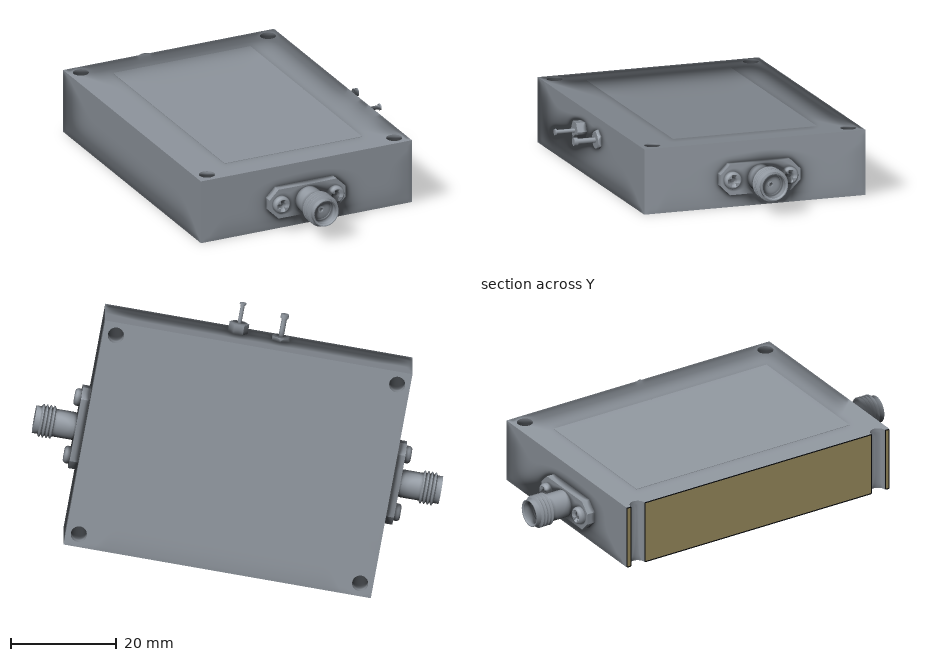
import cadquery as cq
import math

total_length = 78.1
total_width = 50.3
total_height = 12.8
body_length = 59.0
body_width = 44.4
body_height = 12.7
hole_diameter = 3.05
hole_inset = 2.5

label_length = 47.9
label_width = 29.0
label_height = total_height - body_height

connector_y = -0.55
connector_z = 5.7
connector_length = (total_length - body_length) / 2
flange_length = 16.0
flange_height = 5.9
flange_thickness = 1.65
flange_chamfer = 1.9
sleeve_diameter = 5.3
neck_diameter = 5.1
neck_length = 0.2
thread_diameter = 6.3
thread_pitch = 0.7
thread_turns = 4
thread_crest = 0.15
tip_length = 1.0
bore_diameter = 4.5
bore_depth = 1.95
mouth_chamfer = 0.2
insert_recess_diameter = 3.9
insert_recess_depth = 0.2
contact_diameter = 1.3
contact_bore_diameter = 0.765
contact_bore_depth = 1.6

screw_spacing = 11.4
screw_diameter = 3.35
screw_top_diameter = 2.5
screw_height = 1.2
screw_rim_height = 0.55
screw_dome_bulge = 0.1
recess_length = 2.5
recess_tip = 0.8
recess_width = 0.9
recess_depth = 0.9

terminal_z = 8.6
ground_x = -4.1
ground_stem_diameter = 1.0
ground_head_diameter = 1.6
ground_head_thickness = 0.8
ground_reach = 5.1
ground_nut_flats = 3.35
ground_nut_height = 0.7
nut_cone_base_diameter = 4.05
nut_cone_top_diameter = 3.3
supply_x = 4.05
supply_stem_diameter = 0.765
supply_head_diameter = 1.25
supply_head_thickness = 0.3
supply_reach = total_width - body_width
supply_base_flats = 3.3
supply_base_height = 1.9


def make_body():
    """Block with four through holes, carrying the label plate."""
    body = cq.Workplane("XY").box(body_length, body_width, body_height, centered=(True, True, False))
    label = (
        cq.Workplane("XY", origin=(0, 0, body_height))
        .box(label_length, label_width, label_height, centered=(True, True, False))
    )
    holes = (
        cq.Workplane("XY")
        .rect(body_length - 2 * hole_inset, body_width - 2 * hole_inset, forConstruction=True)
        .vertices()
        .circle(hole_diameter / 2)
        .extrude(body_height)
    )
    return body.union(label).cut(holes)


def make_screw():
    """Domed screw head standing on Z = 0, with a tapered cross recess in its top."""
    radius = screw_diameter / 2
    top_radius = screw_top_diameter / 2
    shoulder_height = (screw_rim_height + screw_height) / 2 + screw_dome_bulge
    shoulder_radius = (radius + top_radius) / 2 + screw_dome_bulge
    head = (
        cq.Workplane("XZ")
        .lineTo(radius, 0)
        .lineTo(radius, screw_rim_height)
        .threePointArc((shoulder_radius, shoulder_height), (top_radius, screw_height))
        .lineTo(0, screw_height)
        .close()
        .revolve(360, (0, 0), (0, 1))
    )
    recess_floor = cq.Workplane("XY", origin=(0, 0, screw_height - recess_depth))
    arm = recess_floor.rect(recess_length, recess_width).extrude(recess_depth)
    cross = arm.union(arm.rotate((0, 0, 0), (0, 0, 1), 90))
    taper = (
        recess_floor.circle(recess_tip / 2)
        .workplane(offset=recess_depth)
        .circle(recess_length / 2)
        .loft()
    )
    return head.cut(cross.intersect(taper))


def make_barrel():
    """Threaded female barrel along Z, from the flange back (Z = 0) to the open tip."""
    sleeve_radius = sleeve_diameter / 2
    thread_radius = thread_diameter / 2
    neck_top = flange_thickness + neck_length
    thread_start = connector_length - tip_length - thread_turns * thread_pitch

    profile = (
        cq.Workplane("XZ")
        .lineTo(neck_diameter / 2, 0)
        .lineTo(neck_diameter / 2, neck_top)
        .lineTo(sleeve_radius, neck_top)
        .lineTo(sleeve_radius, thread_start)
    )
    for turn in range(thread_turns):
        root = thread_start + turn * thread_pitch
        crest = root + (thread_pitch - thread_crest) / 2
        profile = (
            profile.lineTo(thread_radius, crest)
            .lineTo(thread_radius, crest + thread_crest)
            .lineTo(sleeve_radius, root + thread_pitch)
        )
    barrel = (
        profile.lineTo(sleeve_radius, connector_length)
        .lineTo(0, connector_length)
        .close()
        .revolve(360, (0, 0), (0, 1))
    )

    bore_radius = bore_diameter / 2
    bore_floor = connector_length - bore_depth
    insert_face = bore_floor - insert_recess_depth
    cavity = (
        cq.Workplane("XZ")
        .moveTo(0, insert_face)
        .lineTo(insert_recess_diameter / 2, insert_face)
        .lineTo(insert_recess_diameter / 2, bore_floor)
        .lineTo(bore_radius, bore_floor)
        .lineTo(bore_radius, connector_length - mouth_chamfer)
        .lineTo(bore_radius + mouth_chamfer, connector_length)
        .lineTo(0, connector_length)
        .close()
        .revolve(360, (0, 0), (0, 1))
    )
    contact = (
        cq.Workplane("XY", origin=(0, 0, insert_face))
        .circle(contact_diameter / 2)
        .circle(contact_bore_diameter / 2)
        .extrude(bore_floor - insert_face)
    )
    contact_bore = (
        cq.Workplane("XY", origin=(0, 0, insert_face - contact_bore_depth))
        .circle(contact_bore_diameter / 2)
        .extrude(contact_bore_depth)
    )
    return barrel.cut(cavity).union(contact).cut(contact_bore)


def make_connector():
    """Flange, two screws and barrel, standing on Z = 0 with the flange long along Y."""
    flange = (
        cq.Workplane("XY")
        .box(flange_height, flange_length, flange_thickness, centered=(True, True, False))
        .edges("|Z")
        .chamfer(flange_chamfer)
    )
    connector = flange.union(make_barrel())
    for side in (-1, 1):
        screw = make_screw().translate((0, side * screw_spacing / 2, flange_thickness))
        connector = connector.union(screw)
    return connector


def make_hex(across_flats, height):
    """Hexagonal prism along Z with two corners on the X axis."""
    across_corners = across_flats / math.cos(math.pi / 6)
    return cq.Workplane("XY").polygon(6, across_corners).extrude(height)


def make_terminal(base, stem_diameter, head_diameter, head_thickness, reach):
    """Headed pin rising along Z out of a hexagonal base."""
    stem = cq.Workplane("XY").circle(stem_diameter / 2).extrude(reach)
    head = (
        cq.Workplane("XY", origin=(0, 0, reach - head_thickness))
        .circle(head_diameter / 2)
        .extrude(head_thickness)
    )
    return base.union(stem).union(head)


def make_ground():
    """Ground terminal, its nut corners trimmed by a cone that narrows away from the housing."""
    cone = (
        cq.Workplane("XY")
        .circle(nut_cone_base_diameter / 2)
        .workplane(offset=ground_nut_height)
        .circle(nut_cone_top_diameter / 2)
        .loft()
    )
    nut = make_hex(ground_nut_flats, ground_nut_height).rotate((0, 0, 0), (0, 0, 1), 90)
    return make_terminal(
        nut.intersect(cone), ground_stem_diameter, ground_head_diameter, ground_head_thickness, ground_reach
    )


def make_supply():
    """Supply terminal, thinner and longer than the ground one."""
    base = make_hex(supply_base_flats, supply_base_height)
    return make_terminal(
        base, supply_stem_diameter, supply_head_diameter, supply_head_thickness, supply_reach
    )


def place_on_rear(terminal, x):
    """Turn a Z-axis terminal to point along +Y and seat it on the rear face."""
    return terminal.rotate((0, 0, 0), (1, 0, 0), -90).translate((x, body_width / 2, terminal_z))


result = make_body()

for direction in (-1, 1):
    end_connector = (
        make_connector()
        .rotate((0, 0, 0), (0, 1, 0), direction * 90)
        .translate((direction * body_length / 2, connector_y, connector_z))
    )
    result = result.union(end_connector)

result = result.union(place_on_rear(make_ground(), ground_x))
result = result.union(place_on_rear(make_supply(), supply_x))